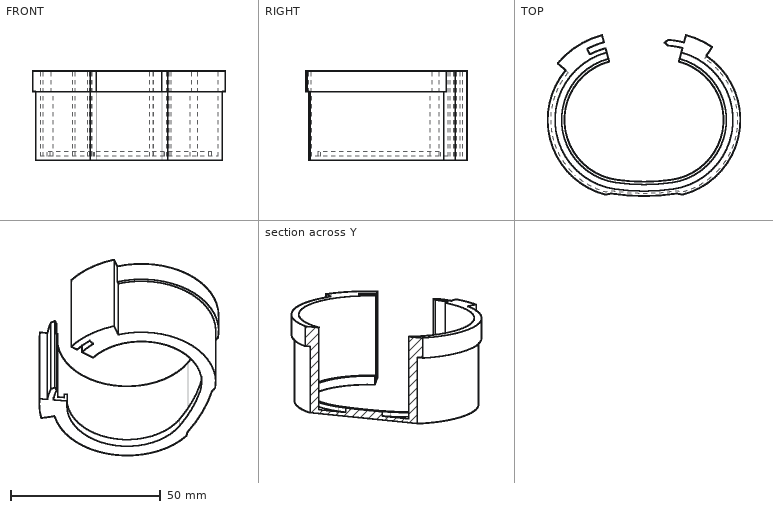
import cadquery as cq
import math

height = 30.0
rim_height = 7.0
lip_height = 3.0
floor_thickness = 1.5

side_center_x = 6.4
blend_center_y = 45.0
blend_distance = math.hypot(side_center_x, blend_center_y)

lip_thickness = 1.0
wall_thickness = 1.5
rim_overhang = 1.0

lip_inner_radius = 20.2
lip_outer_radius = lip_inner_radius + lip_thickness
wall_inner_radius = 23.4
wall_outer_radius = wall_inner_radius + wall_thickness
rim_outer_radius = wall_outer_radius + rim_overhang
tab_outer_radius = 29.45
slot_width = 2.0
slot_outer_radius = wall_outer_radius + slot_width

rim_front_depth = 25.55
wall_front_depth = rim_front_depth - rim_overhang
flat_half_width = 11.0
step_half_width = 12.9

gap_angle = 15.0
slot_tab_angle = 50.0
slot_end_angle = 28.0
tongue_tab_angle = 34.0
tongue_shoulder_angle = 3.7
tongue_tip_angle = 1.0


def polar_point(radius, angle, side):
    """Point at an angle from +Y about the left (side=-1) or right (side=1) centre."""
    turn = math.radians(angle)
    return (side * (side_center_x + radius * math.sin(turn)), radius * math.cos(turn))


def oval(radius, depth):
    """Solid oval: side circles of the given radius joined by tangent shallow arcs."""
    join_x = side_center_x * (1 + radius / blend_distance)
    join_y = radius * blend_center_y / blend_distance
    crown_y = blend_distance + radius - blend_center_y
    side_x = side_center_x + radius
    return (
        cq.Workplane("XY")
        .moveTo(-join_x, -join_y)
        .threePointArc((0, -crown_y), (join_x, -join_y))
        .threePointArc((side_x, 0), (join_x, join_y))
        .threePointArc((0, crown_y), (-join_x, join_y))
        .threePointArc((-side_x, 0), (-join_x, -join_y))
        .close()
        .extrude(depth)
    )


def front_trim(radius, front_depth, depth):
    """Material outside the flattened front face, including the short side steps."""
    arc_radius = blend_center_y + front_depth
    flat_y = blend_center_y - math.sqrt(arc_radius**2 - flat_half_width**2)
    step_y = -math.sqrt(radius**2 - (step_half_width - side_center_x) ** 2)
    clear_y = -2 * front_depth
    return (
        cq.Workplane("XY")
        .moveTo(-step_half_width, step_y)
        .lineTo(-flat_half_width, flat_y)
        .threePointArc((0, -front_depth), (flat_half_width, flat_y))
        .lineTo(step_half_width, step_y)
        .lineTo(step_half_width, clear_y)
        .lineTo(-step_half_width, clear_y)
        .close()
        .extrude(depth)
    )


def shell_block(radius, front_depth, depth):
    """Oval block with its front face flattened."""
    return oval(radius, depth).cut(front_trim(radius, front_depth, depth))


def sector(inner_radius, outer_radius, start_angle, end_angle, side):
    """Full-height ring sector about one side centre."""
    middle_angle = (start_angle + end_angle) / 2
    return (
        cq.Workplane("XY")
        .moveTo(*polar_point(inner_radius, start_angle, side))
        .lineTo(*polar_point(outer_radius, start_angle, side))
        .threePointArc(
            polar_point(outer_radius, middle_angle, side),
            polar_point(outer_radius, end_angle, side),
        )
        .lineTo(*polar_point(inner_radius, end_angle, side))
        .threePointArc(
            polar_point(inner_radius, middle_angle, side),
            polar_point(inner_radius, start_angle, side),
        )
        .close()
        .extrude(height)
    )


def make_body():
    """Closed oval band with the top rim, open middle, and grooved bottom lip."""
    rim = shell_block(rim_outer_radius, rim_front_depth, rim_height)
    body = shell_block(wall_outer_radius, wall_front_depth, height)
    body = body.union(rim.translate((0, 0, height - rim_height)))

    upper_cavity = oval(wall_inner_radius, height).translate((0, 0, lip_height))
    groove = oval(wall_inner_radius, lip_height).cut(oval(lip_outer_radius, lip_height))
    groove = groove.translate((0, 0, floor_thickness))
    opening = oval(lip_inner_radius, height)
    return body.cut(upper_cavity).cut(groove).cut(opening)


def make_gap():
    """Wedge that opens the back of the band between two radial end faces."""
    reach = 2 * tab_outer_radius
    return (
        cq.Workplane("XY")
        .polyline([
            (-side_center_x, 0),
            polar_point(reach, gap_angle, -1),
            polar_point(reach, gap_angle, 1),
            (side_center_x, 0),
        ])
        .close()
        .extrude(height)
    )


def make_tongue():
    """Curved tongue with a pointed tip, rooted inside the right tab."""
    side = 1
    root_angle = (gap_angle + tongue_tab_angle) / 2
    middle_angle = (tongue_shoulder_angle + root_angle) / 2
    middle_radius = (wall_outer_radius + slot_outer_radius) / 2
    return (
        cq.Workplane("XY")
        .moveTo(*polar_point(wall_outer_radius, root_angle, side))
        .lineTo(*polar_point(slot_outer_radius, root_angle, side))
        .threePointArc(
            polar_point(slot_outer_radius, middle_angle, side),
            polar_point(slot_outer_radius, tongue_shoulder_angle, side),
        )
        .lineTo(*polar_point(middle_radius, tongue_tip_angle, side))
        .lineTo(*polar_point(wall_outer_radius, tongue_shoulder_angle, side))
        .threePointArc(
            polar_point(wall_outer_radius, middle_angle, side),
            polar_point(wall_outer_radius, root_angle, side),
        )
        .close()
        .extrude(height)
    )


tab_root_radius = (wall_inner_radius + wall_outer_radius) / 2
slot_tab = sector(tab_root_radius, tab_outer_radius, gap_angle, slot_tab_angle, -1)
tongue_tab = sector(tab_root_radius, tab_outer_radius, gap_angle, tongue_tab_angle, 1)

slot = sector(wall_outer_radius, slot_outer_radius, 0, slot_end_angle, -1)

band = make_body().cut(make_gap())
result = band.union(slot_tab).union(tongue_tab).cut(slot).union(make_tongue())